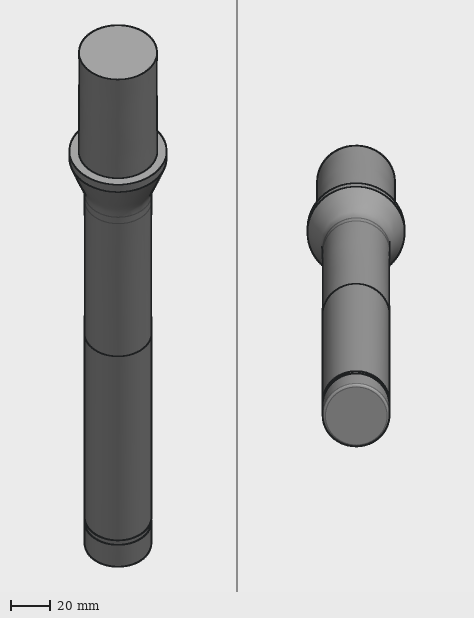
import cadquery as cq

TOTAL_HEIGHT = 349.0
TUBE_RADIUS = 34.2 / 2
RELIEF_RADIUS = 34.0 / 2

SEAM_BOTTOM = 16.5
SEAM_TOP = 19.5
TUBE_TOP = 150.0
GRIP_TOP = 244.3
NECK_BAND_TOP = 249.0
FLARE_MID = 260.5
COLLAR_BOTTOM = 274.0
COLLAR_TOP = 279.2

COLLAR_RADIUS = 49.5 / 2
SPIGOT_BASE_RADIUS = 40.0 / 2
SPIGOT_TOP_RADIUS = 39.8 / 2
FLARE_MID_RADIUS = 20.2

BOTTOM_ROUND = 1.5


def revolve_profile(profile):
    """Turn a closed radius/height outline about the vertical axis."""
    return profile.close().revolve(360, (0, 0, 0), (0, 1, 0))


def make_lower_tube():
    """Tube with a round-cornered lower end and a shallow groove above its end band."""
    profile = (
        cq.Workplane("XZ")
        .lineTo(TUBE_RADIUS - BOTTOM_ROUND, 0)
        .tangentArcPoint((TUBE_RADIUS, BOTTOM_ROUND), relative=False)
        .lineTo(TUBE_RADIUS, SEAM_BOTTOM)
        .lineTo(RELIEF_RADIUS, SEAM_BOTTOM)
        .lineTo(RELIEF_RADIUS, SEAM_TOP)
        .lineTo(TUBE_RADIUS, SEAM_TOP)
        .lineTo(TUBE_RADIUS, TUBE_TOP)
        .lineTo(0, TUBE_TOP)
    )
    return revolve_profile(profile)


def make_upper_shaft():
    """Slightly waisted grip, neck band, flared collar and tapered spigot in one piece."""
    profile = (
        cq.Workplane("XZ")
        .moveTo(0, TUBE_TOP)
        .lineTo(TUBE_RADIUS, TUBE_TOP)
        .threePointArc((RELIEF_RADIUS, (TUBE_TOP + GRIP_TOP) / 2), (TUBE_RADIUS, GRIP_TOP))
        .lineTo(TUBE_RADIUS, NECK_BAND_TOP)
        .spline(
            [(FLARE_MID_RADIUS, FLARE_MID), (COLLAR_RADIUS, COLLAR_BOTTOM)],
            tangents=[(0, 1), (COLLAR_RADIUS - FLARE_MID_RADIUS, COLLAR_BOTTOM - FLARE_MID)],
            includeCurrent=True,
        )
        .lineTo(COLLAR_RADIUS, COLLAR_TOP)
        .lineTo(SPIGOT_BASE_RADIUS, COLLAR_TOP)
        .lineTo(SPIGOT_TOP_RADIUS, TOTAL_HEIGHT)
        .lineTo(0, TOTAL_HEIGHT)
    )
    return revolve_profile(profile)


lower_tube = make_lower_tube()
upper_shaft = make_upper_shaft()
result = cq.Compound.makeCompound([lower_tube.val(), upper_shaft.val()])